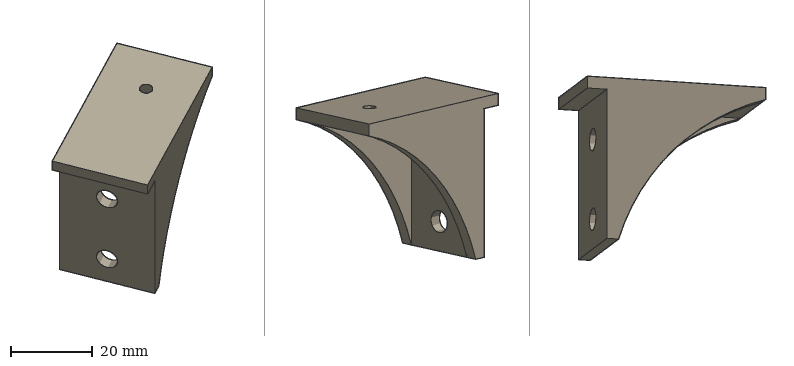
import cadquery as cq
import math

width = 25.0
depth = 45.6
height = 40.5

plate_thickness = 3.0
rib_thickness = 3.0
front_lip = 5.0
brace_radius = 57.0

wall_hole_diameter = 5.5
wall_hole_drop = 13.0
wall_hole_spacing = 20.0
top_hole_diameter = 3.2
top_hole_from_back = 13.0

plate_bottom = height - plate_thickness
wall_back = front_lip + plate_thickness


def box(size_x, size_y, size_z, y_min, z_min):
    """Box centred in X, placed by its lowest Y and Z."""
    return (
        cq.Workplane("XY")
        .box(size_x, size_y, size_z, centered=(True, False, False))
        .translate((0, y_min, z_min))
    )


def brace_arc_middle():
    """Middle of the arc that bulges from its chord towards the inner corner."""
    chord_y = depth - wall_back
    chord_z = plate_bottom
    chord = math.hypot(chord_y, chord_z)
    bulge = brace_radius - math.sqrt(brace_radius**2 - (chord / 2) ** 2)
    middle_y = (wall_back + depth) / 2 - bulge * chord_z / chord
    middle_z = plate_bottom / 2 + bulge * chord_y / chord
    return (middle_y, middle_z)


def side_rib(x_min):
    """Curved brace joining the wall to the top plate along one side."""
    return (
        cq.Workplane("YZ", origin=(x_min, 0, 0))
        .moveTo(front_lip, 0)
        .lineTo(wall_back, 0)
        .threePointArc(brace_arc_middle(), (depth, plate_bottom))
        .lineTo(depth, height)
        .lineTo(front_lip, height)
        .close()
        .extrude(rib_thickness)
    )


top_plate = box(width, depth, plate_thickness, 0, plate_bottom)
wall = box(width, plate_thickness, height, front_lip, 0)
result = top_plate.union(wall)
for rib_x in (-width / 2, width / 2 - rib_thickness):
    result = result.union(side_rib(rib_x))

upper_hole_z = height - wall_hole_drop
for hole_z in (upper_hole_z, upper_hole_z - wall_hole_spacing):
    wall_hole = (
        cq.Workplane("XZ", origin=(0, wall_back, hole_z))
        .circle(wall_hole_diameter / 2)
        .extrude(plate_thickness)
    )
    result = result.cut(wall_hole)

top_hole = (
    cq.Workplane("XY", origin=(0, depth - top_hole_from_back, plate_bottom))
    .circle(top_hole_diameter / 2)
    .extrude(plate_thickness)
)
result = result.cut(top_hole)